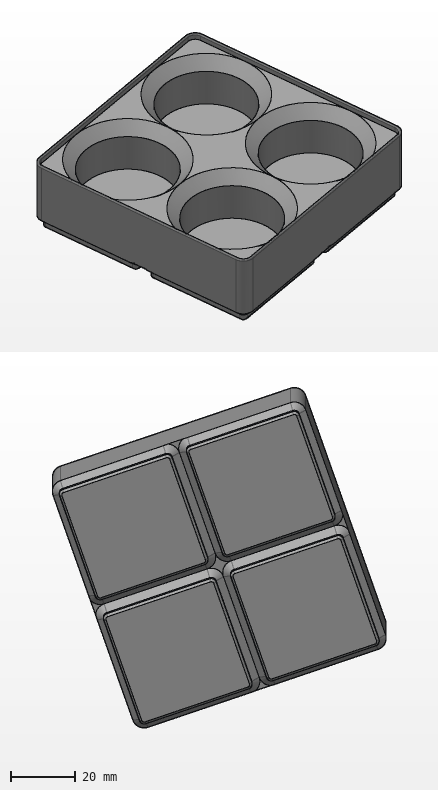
import cadquery as cq

cells_per_side = 2
foot_pitch = 42.0
side_gap = 0.5
outer_side = cells_per_side * foot_pitch - side_gap
overall_height = 26.14
corner_radius = 3.75

foot_lower_chamfer = 0.8
foot_straight = 1.8
foot_upper_chamfer = 2.4
foot_height = foot_lower_chamfer + foot_straight + foot_upper_chamfer
foot_corner_radius = corner_radius + side_gap / 2

pocket_diameter = 32.76
pocket_chamfer = 4.0
pocket_straight_depth = 13.0
pocket_depth = pocket_chamfer + pocket_straight_depth
pocket_pitch = pocket_diameter + 2 * pocket_chamfer

rim_height = 2.0
rim_round = 0.3
recess_side = cells_per_side * pocket_pitch
rim_width = (outer_side - recess_side) / 2
recess_radius = corner_radius - rim_width
deck_z = overall_height - rim_height


def grid_points(pitch):
    """Cell centres of the square grid, centred on the origin."""
    middle = (cells_per_side - 1) / 2
    steps = [(index - middle) * pitch for index in range(cells_per_side)]
    return [(x, y) for x in steps for y in steps]


def rounded_block(side, radius, height, base_z):
    """Upright square block with rounded vertical edges."""
    block = cq.Workplane("XY").workplane(offset=base_z).rect(side, side).extrude(height)
    return block.edges("|Z").fillet(radius)


def tapered_block(side, radius, height, base_z):
    """Square block with rounded corners that widens upwards at 45 degrees."""
    outline = cq.Sketch().rect(side, side).vertices().fillet(radius)
    return cq.Workplane("XY").workplane(offset=base_z).placeSketch(outline).extrude(height, taper=-45)


def make_foot():
    """Foot with a straight neck between two 45 degree chamfers."""
    neck_side = foot_pitch - 2 * foot_upper_chamfer
    neck_radius = foot_corner_radius - foot_upper_chamfer
    toe_side = neck_side - 2 * foot_lower_chamfer
    toe_radius = neck_radius - foot_lower_chamfer
    flare_base_z = foot_lower_chamfer + foot_straight
    toe = tapered_block(toe_side, toe_radius, foot_lower_chamfer, 0)
    neck = rounded_block(neck_side, neck_radius, foot_straight, foot_lower_chamfer)
    flare = tapered_block(neck_side, neck_radius, foot_upper_chamfer, flare_base_z)
    return toe.union(neck).union(flare)


def make_body():
    """Block with a shallow recess that leaves a rim with rounded top edges."""
    body = rounded_block(outer_side, corner_radius, overall_height - foot_height, foot_height)
    recess = rounded_block(recess_side, recess_radius, rim_height, deck_z)
    return body.cut(recess).faces(">Z").edges().fillet(rim_round)


def make_pocket():
    """Cutter for one flat-bottomed pocket, with its top at the local origin."""
    bore_radius = pocket_diameter / 2
    profile = (
        cq.Workplane("XZ")
        .lineTo(bore_radius + pocket_chamfer, 0)
        .lineTo(bore_radius, -pocket_chamfer)
        .lineTo(bore_radius, -pocket_depth)
        .lineTo(0, -pocket_depth)
        .close()
    )
    return profile.revolve(360, (0, 0, 0), (0, 1, 0))


def add_feet(body):
    """Put a foot under every cell, trimmed to the outer walls of the block."""
    foot = make_foot()
    envelope = rounded_block(outer_side, corner_radius, overall_height, 0)
    for x, y in grid_points(foot_pitch):
        body = body.union(foot.translate((x, y, 0)).intersect(envelope))
    return body


def cut_pockets(body):
    """Sink one pocket per cell into the recessed deck."""
    pocket = make_pocket()
    for x, y in grid_points(pocket_pitch):
        body = body.cut(pocket.translate((x, y, deck_z)))
    return body


result = cut_pockets(add_feet(make_body())).solids()